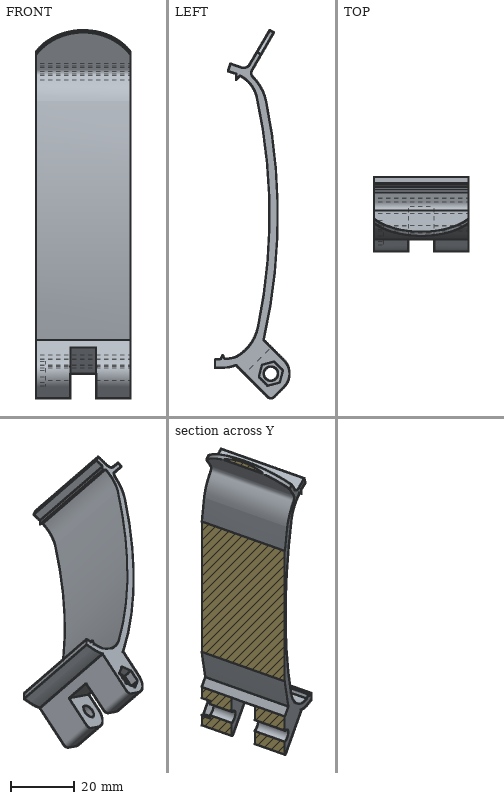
import cadquery as cq
import math

width = 30.0

bow_radius = 177.2
bow_thickness = 2.7
bow_front_y = -2.2
bow_mid_z = 50.2
inner_bottom_z = 14.7
outer_bottom_z = 10.6
inner_top_z = 87.8
outer_top_z = 86.2

barrel_radius = 6.0
block_front_height = 9.2
block_back_height = 9.7
bore_radius = 2.2
nut_circumradius = 4.0
nut_depth = 3.0
nut_turn = 15.0
corner_radius = 1.4
slot_width = 8.2
slot_floor_distance = 5.8

tab_angle = 60.0
tab_thickness = 1.5
tab_front_length = 13.8
tab_tip = (0.3, 108.7)
tab_edge_radius = 18.0
crease_radius = 1.9
crease_turn = 72.0


def strap_point(radius, z):
    """Point at height z on a bow face, concentric with the other face."""
    center_y = bow_front_y + bow_radius
    return (center_y - math.sqrt(radius**2 - (z - bow_mid_z) ** 2), z)


def extrude_full_width(outline):
    return outline.extrude(width / 2, both=True)


def make_strap():
    """Strap with both clip lips, their barbs and the straight-edged tab."""
    inner_radius = bow_radius - bow_thickness
    lean = math.radians(tab_angle)
    tab_front_tip = (
        tab_tip[0] - tab_thickness * math.sin(lean),
        tab_tip[1] - tab_thickness * math.cos(lean),
    )
    tab_front_root = (
        tab_front_tip[0] + tab_front_length * math.cos(lean),
        tab_front_tip[1] - tab_front_length * math.sin(lean),
    )

    tangent_angle = 90 - tab_angle
    crease_center = (
        tab_front_root[0] - crease_radius * math.sin(lean),
        tab_front_root[1] - crease_radius * math.cos(lean),
    )

    def crease_point(turn):
        angle = math.radians(tangent_angle - turn)
        return (
            crease_center[0] + crease_radius * math.cos(angle),
            crease_center[1] + crease_radius * math.sin(angle),
        )

    outline = (
        cq.Workplane("YZ")
        .moveTo(*strap_point(bow_radius, outer_bottom_z))
        .threePointArc(strap_point(bow_radius, bow_mid_z), strap_point(bow_radius, outer_top_z))
        .tangentArcPoint(crease_point(crease_turn), relative=False)
        .threePointArc(crease_point(crease_turn / 2), tab_front_root)
        .lineTo(*tab_front_tip)
        .lineTo(*tab_tip)
        .lineTo(7.0, 97.4)
        .threePointArc((8.4, 96.9), (9.8, 97.1))
        .lineTo(12.8, 98.1)
        .lineTo(13.6, 95.7)
        .lineTo(11.0, 94.9)
        .lineTo(11.0, 93.0)
        .lineTo(9.8, 94.3)
        .threePointArc((6.9, 92.1), strap_point(inner_radius, inner_top_z))
        .threePointArc(strap_point(inner_radius, bow_mid_z), strap_point(inner_radius, inner_bottom_z))
        .tangentArcPoint((11.0, 5.4), relative=False)
        .threePointArc((12.7, 4.9), (14.6, 4.7))
        .lineTo(15.3, 6.0)
        .lineTo(15.9, 4.7)
        .lineTo(17.7, 4.5)
        .lineTo(17.7, 1.9)
        .lineTo(14.9, 1.9)
        .threePointArc((12.8, 2.1), (11.1, 2.7))
        .lineTo(5.8, 5.8)
        .close()
    )
    return extrude_full_width(outline)


def make_hinge_block():
    """Arm with one edge rounded about the hinge axis, turned to 45 degrees."""
    r = barrel_radius
    outline = (
        cq.Workplane("YZ")
        .moveTo(-r, block_front_height)
        .lineTo(-r, 0)
        .threePointArc((-r * math.sqrt(0.5), -r * math.sqrt(0.5)), (0, -r))
        .lineTo(r, -r)
        .lineTo(r, block_back_height)
        .close()
    )
    block = extrude_full_width(outline)
    lower_corner = cq.selectors.NearestToPointSelector((0, r, -r))
    block = block.edges(lower_corner).fillet(corner_radius)
    return turn_to_arm(block)


def turn_to_arm(body):
    return body.rotate((0, 0, 0), (1, 0, 0), -45)


def make_slot():
    height = slot_floor_distance + 2 * barrel_radius
    slot = cq.Workplane("XY").box(slot_width, 4 * barrel_radius, height)
    slot = slot.translate((0, 0, slot_floor_distance - height / 2))
    return turn_to_arm(slot)


def make_bore():
    """Through bore with a hexagonal nut pocket on the -X side."""
    bore = extrude_full_width(cq.Workplane("YZ").circle(bore_radius))
    pocket = (
        cq.Workplane("YZ", origin=(-width / 2, 0, 0))
        .polygon(6, 2 * nut_circumradius)
        .extrude(nut_depth)
        .rotate((0, 0, 0), (1, 0, 0), -nut_turn)
    )
    return bore.union(pocket)


def make_tab_trim():
    """Everything above the domed edge, cut square to the tab."""
    lean = math.radians(tab_angle)
    plane = cq.Plane(
        origin=(0, *tab_tip),
        xDir=(1, 0, 0),
        normal=(0, -math.sin(lean), -math.cos(lean)),
    )
    edge_drop = tab_edge_radius - math.sqrt(tab_edge_radius**2 - (width / 2) ** 2)
    return (
        cq.Workplane(plane)
        .moveTo(-width / 2, -edge_drop)
        .threePointArc((0, 0), (width / 2, -edge_drop))
        .lineTo(width, -edge_drop)
        .lineTo(width, edge_drop)
        .lineTo(-width, edge_drop)
        .lineTo(-width, -edge_drop)
        .close()
        .extrude(2 * tab_thickness, both=True)
    )


result = make_strap().union(make_hinge_block())
result = result.cut(make_slot()).cut(make_bore()).cut(make_tab_trim())